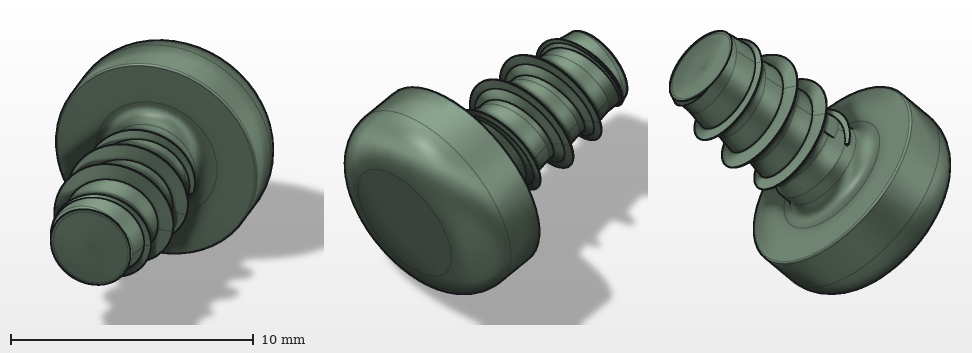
import cadquery as cq
import math

head_radius = 4.4
head_height = 3.5
dome_radius = 1.73
head_edge_round = 0.08
overall_length = 11.49
shank_length = overall_length - head_height

neck_radius = 1.98
neck_fillet = 0.69
neck_length = 1.24
neck_taper_length = 0.79
core_radius = 1.75

tip_radius = 1.73
tip_taper_length = 2.3
thread_limit_radius = 2.64
tip_recess_radius = 1.63
tip_recess_depth = 0.16

pitch = 1.79
crest_y_at_turn_zero = -3.05
first_turn = -1.05
lead_in_end = 0.0
run_out_start = 1.3
run_out_end = 2.5
last_turn = 3.5
segment_count = 9
points_per_segment = 8

crest_radius = 2.49
start_crest_radius = 2.14
swell_radius = 1.9
buried_radius = 1.72
crest_half_width = 0.02
upper_foot_offset = 0.39
flank_bend_offset = 0.13
lower_foot_offset = 0.22
swell_end_offset = 1.13


def make_body():
    """Revolved head, neck and core."""
    fillet_mid = neck_fillet * (1 - math.sqrt(0.5))
    dome_mid = dome_radius * (1 - math.sqrt(0.5))
    dome_middle = (head_radius - dome_mid, head_height - dome_mid)
    edge_mid = head_edge_round * (1 - math.sqrt(0.5))
    outline = (
        cq.Workplane("XY")
        .moveTo(0, head_height)
        .lineTo(head_radius - dome_radius, head_height)
        .threePointArc(dome_middle, (head_radius, head_height - dome_radius))
        .lineTo(head_radius, head_edge_round)
        .threePointArc((head_radius - edge_mid, edge_mid), (head_radius - head_edge_round, 0))
        .lineTo(neck_radius + neck_fillet, 0)
        .threePointArc((neck_radius + fillet_mid, -fillet_mid), (neck_radius, -neck_fillet))
        .lineTo(neck_radius, -neck_length)
        .lineTo(core_radius, -neck_length - neck_taper_length)
        .lineTo(core_radius, -shank_length)
        .lineTo(0, -shank_length)
        .close()
    )
    return outline.revolve(360, (0, 0, 0), (0, 1, 0))


def crest_radius_at(turn):
    """Crest radius, rising over the lead-in and falling to the swell over the run-out."""
    if turn < lead_in_end:
        progress = (turn - first_turn) / (lead_in_end - first_turn)
        return start_crest_radius + progress * (crest_radius - start_crest_radius)
    progress = (turn - run_out_start) / (run_out_end - run_out_start)
    progress = min(max(progress, 0), 1)
    return crest_radius - progress * (crest_radius - swell_radius)


def thread_section(turn):
    """Corners of the thread cross-section as (radius, axial offset from the crest)."""
    crest = crest_radius_at(turn)
    size = (crest - core_radius) / (crest_radius - core_radius)
    bend_radius = (core_radius + crest) / 2
    bend = flank_bend_offset * size
    upper_foot = upper_foot_offset * size
    upper_slope = (upper_foot - bend) / (bend_radius - core_radius)
    swell_slope = (swell_end_offset - lower_foot_offset) / (swell_radius - core_radius)
    buried_depth = core_radius - buried_radius
    return [
        (buried_radius, upper_foot + upper_slope * buried_depth),
        (bend_radius, bend),
        (crest, crest_half_width * size),
        (crest, -crest_half_width * size),
        (swell_radius, -lower_foot_offset * size),
        (buried_radius, -swell_end_offset - swell_slope * buried_depth),
    ]


def thread_corners(turn):
    """Corners of the thread cross-section placed in space."""
    angle = 2 * math.pi * turn
    crest_y = crest_y_at_turn_zero - pitch * turn
    return [
        cq.Vector(radius * math.cos(angle), crest_y + offset, radius * math.sin(angle))
        for radius, offset in thread_section(turn)
    ]


def make_thread():
    """Helical ridge bounded by ruled faces between the helical paths of its corners."""
    segment_turns = (last_turn - first_turn) / segment_count
    faces = []
    for segment in range(segment_count):
        start = first_turn + segment * segment_turns
        steps = range(points_per_segment + 1)
        sections = [thread_corners(start + segment_turns * i / points_per_segment) for i in steps]
        paths = [cq.Edge.makeSpline(list(path)) for path in zip(*sections)]
        faces += [cq.Face.makeRuledSurface(paths[i - 1], paths[i]) for i in range(len(paths))]
    for section in (thread_corners(first_turn), thread_corners(last_turn)):
        faces.append(cq.Face.makeFromWires(cq.Wire.makePolygon(section, close=True)))
    ridge = cq.Workplane(cq.Solid.makeSolid(cq.Shell.makeShell(faces)))
    return ridge.intersect(make_shank_space())


def make_shank_space():
    """Space the thread may fill: it ends at the tip plane and narrows to the core there."""
    narrow_end = -shank_length + tip_taper_length
    outline = cq.Workplane("XY").polyline(
        [
            (0, 0),
            (thread_limit_radius, 0),
            (thread_limit_radius, narrow_end),
            (tip_radius, -shank_length),
            (0, -shank_length),
        ]
    )
    return outline.close().revolve(360, (0, 0, 0), (0, 1, 0))


def make_tip_recess():
    """Shallow cone sunk into the tip."""
    return cq.Workplane(
        cq.Solid.makeCone(
            tip_recess_radius, 0, tip_recess_depth, cq.Vector(0, -shank_length, 0), cq.Vector(0, 1, 0)
        )
    )


result = make_body().union(make_thread()).cut(make_tip_recess())